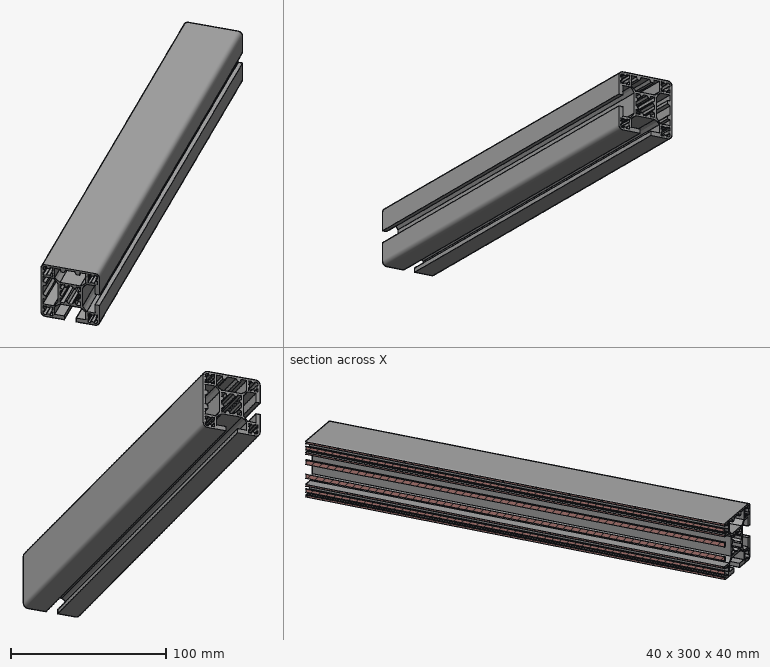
import cadquery as cq
import math

LENGTH = 300.0
SIDE = 40.0
CORNER_RADIUS = 3.3
HALF = SIDE / 2

THIN_WALL = 1.5
LIP_THICKNESS = 3.0
INNER_FACE = HALF - THIN_WALL

CHAMBER_HALF_WIDTH = 10.5
CHAMBER_FLOOR = 8.5
FLOOR_HALF_WIDTH = 7.0
WEB_OFFSET = 0.75
WEB_INNER_END = 9.0
OPENING_WIDTH = 8.0

RIB_HEIGHT = 1.95
RIB_BASE_INNER = 3.0
RIB_TIP_INNER = 4.2
RIB_TIP_OUTER = 6.3
RIB_BASE_OUTER = 6.5

TUBE_CENTRE = 15.0
TUBE_INNER_FACE = 12.0
TUBE_CORNER_RADIUS = 1.5
KEY_HALF_WIDTH = 1.2
KEY_FACE_DISTANCE = 2.55

BORE_HALF = CHAMBER_FLOOR - THIN_WALL
TOOTH_CIRCLE_RADIUS = 6.0
TOOTH_BASE_INNER = 1.05
TOOTH_TIP_INNER = 2.5
TOOTH_TIP_OUTER = 3.3
TOOTH_BASE_OUTER = 4.2

TOP, RIGHT, BOTTOM, LEFT = 0, 90, 180, 270
ALL_SIDES = (TOP, RIGHT, BOTTOM, LEFT)
CLOSED_SIDES = (TOP, LEFT)
OPEN_SIDES = (RIGHT, BOTTOM)


def section_plane():
    """XZ plane at the back end; a positive extrusion runs toward -Y."""
    return cq.Workplane("XZ", origin=(0, LENGTH / 2, 0))


def prism(points):
    """Full-length prism with a polygonal (x, z) section."""
    return section_plane().polyline(points).close().extrude(LENGTH)


def box(x_min, x_max, z_min, z_max):
    """Full-length bar with a rectangular section."""
    return prism([(x_min, z_min), (x_max, z_min), (x_max, z_max), (x_min, z_max)])


def turned(body, angle):
    """Turn a body made for the top side to another side, clockwise seen from -Y."""
    return body.rotate((0, 0, 0), (0, 1, 0), angle)


def mirrored_pair(body):
    """A body together with its mirror image across the plane x = 0."""
    return body.union(body.mirror("YZ"))


def chamber(wall):
    """Space between the centre tube and the top wall."""
    right_half = [
        (CHAMBER_HALF_WIDTH, HALF - wall),
        (CHAMBER_HALF_WIDTH, CHAMBER_HALF_WIDTH + WEB_OFFSET),
        (WEB_INNER_END, WEB_INNER_END + WEB_OFFSET),
        (FLOOR_HALF_WIDTH, CHAMBER_FLOOR),
    ]
    left_half = [(-x, z) for x, z in reversed(right_half)]
    return prism(right_half + left_half)


def closed_chamber():
    """Chamber behind a thin closed wall that carries two ribs."""
    rib_tip = INNER_FACE - RIB_HEIGHT
    rib = prism([
        (RIB_BASE_INNER, INNER_FACE),
        (RIB_TIP_INNER, rib_tip),
        (RIB_TIP_OUTER, rib_tip),
        (RIB_BASE_OUTER, INNER_FACE),
    ])
    return chamber(THIN_WALL).cut(mirrored_pair(rib))


def open_chamber():
    """T-slot: a chamber with an opening between two thick lips."""
    opening = box(-OPENING_WIDTH / 2, OPENING_WIDTH / 2, CHAMBER_FLOOR, HALF)
    return chamber(LIP_THICKNESS).union(opening)


def corner_cavity():
    """Hollow of the top-right corner tube, narrowed by one key on each wall."""
    cavity = box(TUBE_INNER_FACE, INNER_FACE, TUBE_INNER_FACE, INNER_FACE)
    cavity = cavity.edges("|Y and >X and >Z").fillet(TUBE_CORNER_RADIUS)
    centre = (TUBE_CENTRE, 0, TUBE_CENTRE)
    key = box(
        TUBE_CENTRE - KEY_HALF_WIDTH,
        TUBE_CENTRE + KEY_HALF_WIDTH,
        TUBE_CENTRE + KEY_FACE_DISTANCE,
        HALF,
    )
    axis_end = (TUBE_CENTRE, 1, TUBE_CENTRE)
    for angle in ALL_SIDES:
        cavity = cavity.cut(key.rotate(centre, axis_end, angle))
    return cavity


def bore_tooth():
    """Tooth on the right half of the bore's top wall; its tip lies on the tooth circle."""
    def on_circle(x):
        return (x, math.sqrt(TOOTH_CIRCLE_RADIUS**2 - x**2))

    return (
        section_plane()
        .moveTo(TOOTH_BASE_INNER, BORE_HALF)
        .lineTo(*on_circle(TOOTH_TIP_INNER))
        .threePointArc(
            on_circle((TOOTH_TIP_INNER + TOOTH_TIP_OUTER) / 2),
            on_circle(TOOTH_TIP_OUTER),
        )
        .lineTo(TOOTH_BASE_OUTER, BORE_HALF)
        .close()
        .extrude(LENGTH)
    )


def centre_bore():
    """Square bore with a pair of teeth on each wall."""
    bore = box(-BORE_HALF, BORE_HALF, -BORE_HALF, BORE_HALF)
    teeth = mirrored_pair(bore_tooth())
    for angle in ALL_SIDES:
        bore = bore.cut(turned(teeth, angle))
    return bore


result = box(-HALF, HALF, -HALF, HALF).edges("|Y").fillet(CORNER_RADIUS)
result = result.cut(centre_bore())

for side in CLOSED_SIDES:
    result = result.cut(turned(closed_chamber(), side))

for side in OPEN_SIDES:
    result = result.cut(turned(open_chamber(), side))

for side in ALL_SIDES:
    result = result.cut(turned(corner_cavity(), side))